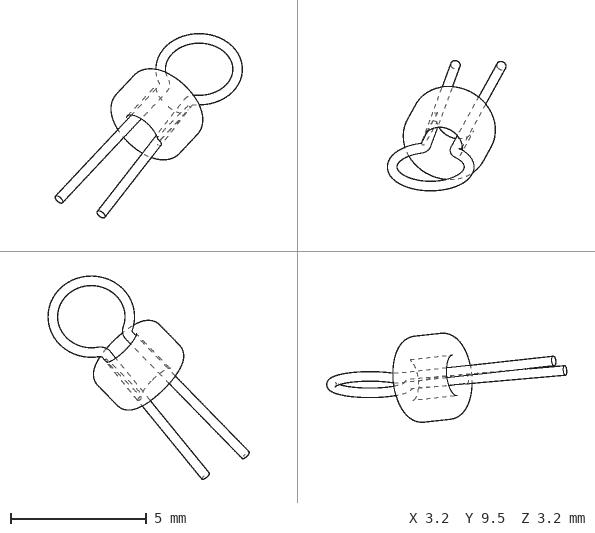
import cadquery as cq
import math

BEAD_DIAMETER = 3.2
BEAD_LENGTH = 2.0
BEAD_OUTER_FILLET = 0.46
BORE_DIAMETER = 1.5
BORE_EDGE_FILLET = 0.095

WIRE_DIAMETER = 0.36
TOTAL_LENGTH = 9.5
LOOP_CENTER_Y = 2.59
LOOP_RADIUS = (BEAD_DIAMETER - WIRE_DIAMETER) / 2
BEND_RADIUS = 0.285
LEFT_FOOT_X = -0.53
RIGHT_FOOT_X = 1.12
RIGHT_FOOT_Y = -4.92
RIGHT_LEG_TILT = math.radians(5)

LOOP_TOP_Y = LOOP_CENTER_Y + LOOP_RADIUS
LEFT_FOOT_Y = LOOP_TOP_Y + WIRE_DIAMETER / 2 - TOTAL_LENGTH


def make_bead():
    """Ring with generously rounded outer edges and lightly rounded bore edges."""
    ends = "<Y or >Y"
    back = cq.Workplane("XZ", origin=(0, BEAD_LENGTH / 2, 0))
    bead = back.circle(BEAD_DIAMETER / 2).extrude(BEAD_LENGTH)
    bead = bead.faces(ends).edges().fillet(BEAD_OUTER_FILLET)
    bead = bead.cut(back.circle(BORE_DIAMETER / 2).extrude(BEAD_LENGTH))
    return bead.faces(ends).edges(cq.selectors.RadiusNthSelector(0)).fillet(BORE_EDGE_FILLET)


def leg_bend(foot, side, tilt):
    """Start, middle and end of the bend that joins a straight leg to the loop.

    side is -1 for the left leg and +1 for the right one; tilt is the outward lean.
    The bend arc is tangent to the leg and touches the loop circle from outside.
    """
    along = cq.Vector(-side * math.sin(tilt), math.cos(tilt))
    outward = cq.Vector(side * math.cos(tilt), math.sin(tilt))
    loop_center = cq.Vector(0, LOOP_CENTER_Y)

    to_loop = loop_center - foot
    sideways = BEND_RADIUS - to_loop.dot(outward)
    leg_length = to_loop.dot(along) - math.sqrt((LOOP_RADIUS + BEND_RADIUS) ** 2 - sideways**2)

    start = foot + along * leg_length
    bend_center = start + outward * BEND_RADIUS
    end = bend_center + (loop_center - bend_center).normalized() * BEND_RADIUS
    halfway = ((start + end) * 0.5 - bend_center).normalized()
    return start, bend_center + halfway * BEND_RADIUS, end


def make_wire():
    """Left leg, bend, loop, bend and right leg swept as one round wire."""
    left_foot = cq.Vector(LEFT_FOOT_X, LEFT_FOOT_Y)
    right_foot = cq.Vector(RIGHT_FOOT_X, RIGHT_FOOT_Y)
    left_start, left_middle, left_end = leg_bend(left_foot, -1, 0)
    right_start, right_middle, right_end = leg_bend(right_foot, 1, RIGHT_LEG_TILT)

    path = (
        cq.Workplane("XY")
        .moveTo(left_foot.x, left_foot.y)
        .lineTo(left_start.x, left_start.y)
        .threePointArc(left_middle.toTuple()[:2], left_end.toTuple()[:2])
        .threePointArc((0, LOOP_TOP_Y), right_end.toTuple()[:2])
        .threePointArc(right_middle.toTuple()[:2], right_start.toTuple()[:2])
        .lineTo(right_foot.x, right_foot.y)
    )
    section = cq.Workplane("XZ", origin=left_foot.toTuple()).circle(WIRE_DIAMETER / 2)
    return section.sweep(path)


wire = make_wire()
bead = make_bead().cut(wire).solids()

result = cq.Compound.makeCompound([bead.val(), wire.val()])